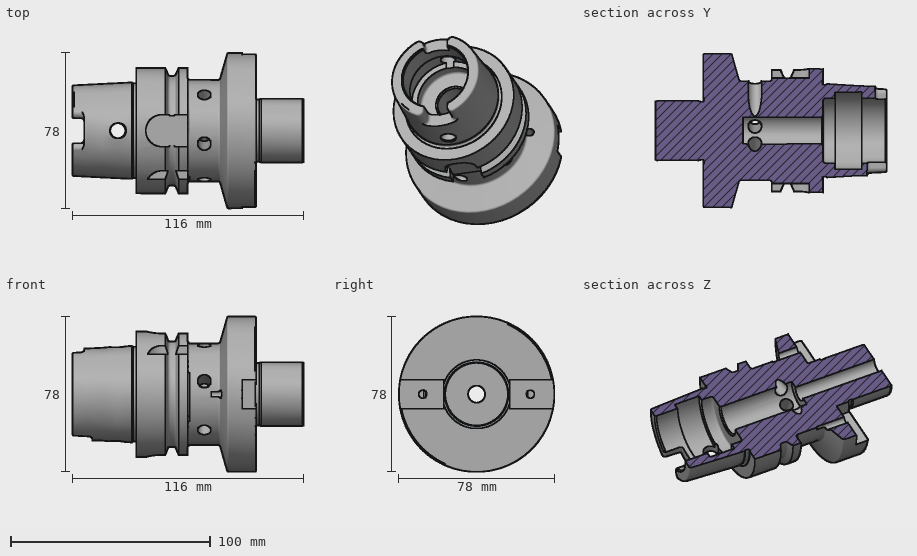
import cadquery as cq
import math


shank_end_x = -32.0
gauge_x = -6.3
gauge_diameter = 48.02
taper_rate = 1 / 9.98
shank_edge_radius = 1.0
undercut_start_x = -2.2
undercut_full_x = -1.5
undercut_radius = 23.8
undercut_face_radius = 25.2
relief_depth = 0.3
relief_fillet = 0.7

flange_diameter = 63.0
flange_length = 25.8
groove_x = 17.9
groove_diameter = 55.0
groove_top_half_width = 3.35
groove_bottom_half_width = 1.6
groove_fillet = 1.2

body_diameter = 51.0
body_root_fillet = 1.0
cone_angle = 16.0
cone_start_x = 41.8
cone_fillet = 1.0
seat_diameter = 78.0
seat_x = 60.0
seat_edge_fillet = 0.7
seat_relief_radius = 17.2

pilot_diameter = 32.0
pilot_end_x = 84.0
pilot_neck_diameter = 31.4
pilot_neck_length = 1.6
pilot_neck_taper_length = 0.9
pilot_end_chamfer_length = 0.9
pilot_end_chamfer_height = 0.35

bore_diameter = 34.0
bore_mouth_height = 0.5
bore_mouth_length = 0.9
bore_lip_end_x = -19.3
bore_recess_diameter = 40.0
bore_recess_end_x = -6.0
bore_floor_x = 0.0
bore_floor_fillet = 1.3
thread_diameter = 17.0
thread_mouth_diameter = 18.5
thread_floor_x = 40.0
through_diameter = 8.4

drive_slot_width = 12.4
drive_slot_top_depth = 5.9
drive_slot_bottom_depth = 10.0
drive_slot_mouth_fillet = 2.5
drive_slot_floor_fillet = 1.5

access_x = -9.2
access_diameter = 7.5
access_mouth_diameter = 8.4

keyway_cutter_radius = 8.0
keyway_center_x = 12.8
keyway_floor_z = 26.5
notch_offset = 20.1

balance_x = 34.1
balance_diameter = 6.65
balance_count = 6
balance_first_angle = 15.0

driver_width = 14.4
driver_depth = 7.0
driver_wall_y = 16.5
coolant_diameter = 4.0
coolant_radius = 26.95
coolant_start_x = 37.6

pick_tolerance = 0.01


def taper_radius(x):
    """Outer radius of the shank taper at position x."""
    return (gauge_diameter + (x - gauge_x) * taper_rate) / 2


def turned(points):
    """Solid of revolution about X from (x, radius) points."""
    return cq.Workplane("XY").polyline(points).close().revolve(360, (0, 0, 0), (1, 0, 0))


def circle_edges(shape, x, radius):
    """Full circular edges of a turned shape at the given place."""
    def matches(edge):
        if edge.geomType() != "CIRCLE":
            return False
        at_place = abs(edge.Center().x - x) < pick_tolerance
        return at_place and abs(edge.radius() - radius) < pick_tolerance

    return shape.newObject([edge for edge in shape.edges().vals() if matches(edge)])


def make_outside():
    flange_r = flange_diameter / 2
    groove_r = groove_diameter / 2
    body_r = body_diameter / 2
    seat_r = seat_diameter / 2
    pilot_r = pilot_diameter / 2
    neck_r = pilot_neck_diameter / 2
    neck_end_x = seat_x + pilot_neck_length
    cone_end_x = cone_start_x + (seat_r - body_r) * math.tan(math.radians(cone_angle))
    groove_left_x = groove_x - groove_bottom_half_width
    groove_right_x = groove_x + groove_bottom_half_width

    shape = turned([
        (shank_end_x, 0),
        (shank_end_x, taper_radius(shank_end_x)),
        (undercut_start_x, taper_radius(undercut_start_x)),
        (undercut_full_x, undercut_radius),
        (relief_depth, undercut_radius),
        (relief_depth, undercut_face_radius),
        (0, undercut_face_radius),
        (0, flange_r),
        (groove_x - groove_top_half_width, flange_r),
        (groove_left_x, groove_r),
        (groove_right_x, groove_r),
        (groove_x + groove_top_half_width, flange_r),
        (flange_length, flange_r),
        (flange_length, body_r),
        (cone_start_x, body_r),
        (cone_end_x, seat_r),
        (seat_x, seat_r),
        (seat_x, seat_relief_radius),
        (seat_x - relief_depth, seat_relief_radius),
        (seat_x - relief_depth, neck_r),
        (neck_end_x, neck_r),
        (neck_end_x + pilot_neck_taper_length, pilot_r),
        (pilot_end_x - pilot_end_chamfer_length, pilot_r),
        (pilot_end_x, pilot_r - pilot_end_chamfer_height),
        (pilot_end_x, 0),
    ])
    shape = circle_edges(shape, relief_depth, undercut_radius).fillet(relief_fillet)
    shape = circle_edges(shape, seat_x - relief_depth, neck_r).fillet(relief_fillet)
    shape = circle_edges(shape, groove_left_x, groove_r).fillet(groove_fillet)
    shape = circle_edges(shape, groove_right_x, groove_r).fillet(groove_fillet)
    shape = circle_edges(shape, flange_length, body_r).fillet(body_root_fillet)
    shape = circle_edges(shape, cone_start_x, body_r).fillet(cone_fillet)
    shape = circle_edges(shape, cone_end_x, seat_r).fillet(cone_fillet)
    return circle_edges(shape, seat_x, seat_r).fillet(seat_edge_fillet)


def make_bore():
    bore_r = bore_diameter / 2
    recess_r = bore_recess_diameter / 2
    thread_r = thread_diameter / 2
    thread_mouth_r = thread_mouth_diameter / 2
    through_r = through_diameter / 2
    bore = turned([
        (shank_end_x, 0),
        (shank_end_x, bore_r),
        (bore_lip_end_x, bore_r),
        (bore_lip_end_x, recess_r),
        (bore_recess_end_x, recess_r),
        (bore_recess_end_x, bore_r),
        (bore_floor_x, bore_r),
        (bore_floor_x, thread_mouth_r),
        (bore_floor_x + thread_mouth_r - thread_r, thread_r),
        (thread_floor_x, thread_r),
        (thread_floor_x, through_r),
        (pilot_end_x, through_r),
        (pilot_end_x, 0),
    ])
    return circle_edges(bore, bore_floor_x, bore_r).fillet(bore_floor_fillet)


def along_x(edge):
    box = edge.BoundingBox()
    return box.xlen > 2 * max(box.ylen, box.zlen)


def cut_drive_slot(shank, depth, side):
    """Cut a slot across the shank wall on the +Z (side 1) or -Z (side -1) side and round it."""
    height = flange_diameter / 2
    half_width = drive_slot_width / 2
    floor_x = shank_end_x + depth
    mid_wall_z = (bore_diameter + gauge_diameter) / 4
    slot = cq.Workplane("XY").box(2 * depth, drive_slot_width, height)
    shank = shank.cut(slot.translate((shank_end_x, 0, side * height / 2)))

    def at_mouth(edge):
        center = edge.Center()
        on_wall = abs(abs(center.y) - half_width) < pick_tolerance
        return along_x(edge) and on_wall and side * center.z > mid_wall_z

    mouths = [edge for edge in shank.edges().vals() if at_mouth(edge)]
    shank = shank.newObject(mouths).fillet(drive_slot_mouth_fillet)

    def at_floor(edge):
        center = edge.Center()
        on_floor = abs(center.x - floor_x) < pick_tolerance
        on_wall = abs(abs(center.y) - half_width) < pick_tolerance
        return on_floor and on_wall and side * center.z > 0 and edge.geomType() == "LINE"

    corners = [edge for edge in shank.edges().vals() if at_floor(edge)]
    return shank.newObject(corners).fillet(drive_slot_floor_fillet)


def round_shank_end(shank):
    """Round the edges of the shank end face, all but those of the bore mouth."""
    bore_r = bore_diameter / 2

    def at_bore(edge):
        return edge.geomType() == "CIRCLE" and abs(edge.radius() - bore_r) < pick_tolerance

    edges = [edge for edge in shank.faces("<X").edges().vals() if not at_bore(edge)]
    return shank.newObject(edges).fillet(shank_edge_radius)


def bore_mouth():
    """Cone that widens the bore at the shank end."""
    bore_r = bore_diameter / 2
    return turned([
        (shank_end_x, 0),
        (shank_end_x, bore_r + bore_mouth_height),
        (shank_end_x + bore_mouth_length, bore_r),
        (shank_end_x + bore_mouth_length, 0),
    ])


def access_holes():
    """Clamp access hole across the shank, countersunk at both mouths."""
    sink = (access_mouth_diameter - access_diameter) / 2
    mouth_z = taper_radius(access_x)
    r = access_diameter / 2
    top_z = flange_diameter / 2
    profile = [
        (0, 0),
        (r, 0),
        (r, mouth_z - sink),
        (r + sink, mouth_z),
        (r + sink, top_z),
        (0, top_z),
    ]
    half = cq.Workplane("XZ").polyline(profile).close().revolve(360, (0, 0, 0), (0, 1, 0))
    return half.union(half.mirror("XY")).translate((access_x, 0, 0))


def round_ended_cutter(center_y, base_z):
    """Cutter path open toward +X with a half-round end, rising from base_z."""
    width = 2 * keyway_cutter_radius
    length = flange_length - keyway_center_x
    height = flange_diameter / 2
    straight = cq.Workplane("XY").box(length, width, height, centered=(False, True, False))
    end = cq.Workplane("XY").circle(keyway_cutter_radius).extrude(height)
    return straight.union(end).translate((keyway_center_x, center_y, base_z))


def balance_holes():
    """Radial holes from the body surface into the threaded bore."""
    start = cq.Workplane("XZ", origin=(balance_x, 0, 0))
    hole = start.circle(balance_diameter / 2).extrude(flange_diameter / 2)
    holes = cq.Workplane()
    for index in range(balance_count):
        angle = balance_first_angle + index * 360 / balance_count
        holes = holes.add(hole.rotate((0, 0, 0), (1, 0, 0), -angle))
    return holes.combine()


def seat_cut():
    """Driver slot and coolant channel on the -Y side of the cutter seat."""
    slot = (
        cq.Workplane("XY")
        .box(driver_depth, seat_diameter, driver_width, centered=(False, False, True))
        .translate((seat_x - driver_depth, -driver_wall_y - seat_diameter, 0))
    )
    channel = (
        cq.Workplane("YZ", origin=(coolant_start_x, -coolant_radius, 0))
        .circle(coolant_diameter / 2)
        .extrude(seat_x - coolant_start_x)
    )
    return slot.union(channel)


result = make_outside().cut(make_bore())
result = cut_drive_slot(result, drive_slot_top_depth, 1)
result = cut_drive_slot(result, drive_slot_bottom_depth, -1)
result = round_shank_end(result).cut(bore_mouth())
result = result.cut(access_holes())

keyway = round_ended_cutter(0, keyway_floor_z)
result = result.cut(keyway).cut(keyway.mirror("XY"))
result = result.cut(round_ended_cutter(-notch_offset - keyway_cutter_radius, notch_offset))

result = result.cut(balance_holes())
result = result.cut(seat_cut()).cut(seat_cut().mirror("XZ"))